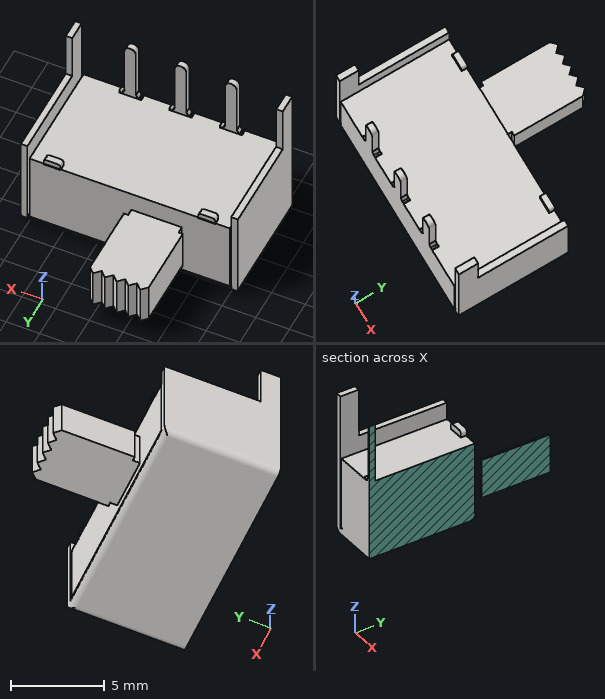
import cadquery as cq


width = 12.9
bracket_depth = 6.85
sheet = 0.4
wall_height = 6.0
post_depth = 1.2
post_height = 9.0

wall_gap = 0.1
body_width = width - 2 * (sheet + wall_gap)
body_depth = 6.8
body_top = 5.0

pin_pitch = 2.99
pin_width = 0.7
pin_thickness = 0.4
pin_tip = 8.8
flare_width = 0.15
flare_height = 0.27
lip_width = 0.15
lip_height = 0.15

hook_width = 1.0
hook_height = 0.4
hook_thickness = 0.4
hook_radius = 0.19
hook_offset = 4.59

knob_x = -1.6
knob_width = 3.5
knob_height = 2.5
knob_tip = 11.85
neck_width = 3.0
neck_length = 0.36
tooth_count = 5


def block(x_size, y_start, y_end, z_start, z_end, x_center=0.0):
    """Box given by its width, X centre and its limits in Y and Z."""
    size = (x_size, y_end - y_start, z_end - z_start)
    return cq.Workplane("XY").box(*size, centered=(True, False, False)).translate(
        (x_center, y_start, z_start)
    )


def make_bracket():
    """U-shaped sheet with rounded bottom edges and a post at the front of each wall."""
    shell = block(width, 0, bracket_depth, 0, post_height)
    shell = shell.edges("<Z and (not <Y)").fillet(sheet)
    inside = block(width - 2 * sheet, 0, bracket_depth, sheet, post_height)
    behind_posts = block(width, post_depth, bracket_depth, wall_height, post_height)
    return shell.cut(inside).cut(behind_posts)


def make_pin(x_center):
    """Round-tipped pin whose foot flares out to a notch and a small lip on each side."""
    half_width = pin_width / 2
    notch_x = half_width + flare_width
    lip_x = notch_x + lip_width
    shoulder = pin_tip - half_width
    return (
        cq.Workplane("XZ", origin=(x_center, 0, 0))
        .moveTo(-lip_x, sheet)
        .lineTo(-lip_x, body_top + lip_height)
        .lineTo(-notch_x, body_top)
        .lineTo(-half_width, body_top + flare_height)
        .lineTo(-half_width, shoulder)
        .threePointArc((0, pin_tip), (half_width, shoulder))
        .lineTo(half_width, body_top + flare_height)
        .lineTo(notch_x, body_top)
        .lineTo(lip_x, body_top + lip_height)
        .lineTo(lip_x, sheet)
        .close()
        .extrude(-pin_thickness)
    )


def make_hook(x_center):
    """Low tab on the back edge of the body, flush with the bracket, with rounded upper ends."""
    front = bracket_depth - hook_thickness
    hook = block(hook_width, front, bracket_depth, body_top, body_top + hook_height, x_center)
    return hook.edges("|Y and >Z").fillet(hook_radius)


def make_knob():
    """Knob on a narrower neck, ending in a row of right-angled teeth."""
    tooth_pitch = knob_width / tooth_count
    tooth_root = knob_tip - tooth_pitch / 2
    bottom = (body_top - knob_height) / 2
    left = -knob_width / 2
    neck_end = bracket_depth + neck_length
    outline = [(-neck_width / 2, body_depth), (-neck_width / 2, neck_end), (left, neck_end)]
    for i in range(tooth_count):
        outline.append((left + i * tooth_pitch, tooth_root))
        outline.append((left + (i + 0.5) * tooth_pitch, knob_tip))
    outline += [(-left, tooth_root), (-left, neck_end)]
    outline += [(neck_width / 2, neck_end), (neck_width / 2, body_depth)]
    return cq.Workplane("XY", origin=(knob_x, 0, bottom)).polyline(outline).close().extrude(knob_height)


result = make_bracket().union(block(body_width, 0, body_depth, sheet, body_top))
for pin_number in (-1, 0, 1):
    result = result.union(make_pin(pin_number * pin_pitch))
for side in (-1, 1):
    result = result.union(make_hook(side * hook_offset))
result = result.union(make_knob()).clean()